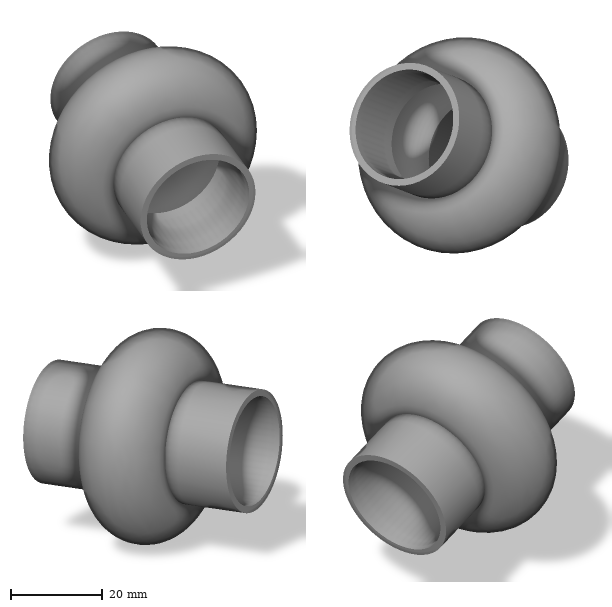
import cadquery as cq

tube_length = 50.0
tube_outer_diameter = 27.5
tube_bore_diameter = 24.5
bulge_diameter = 48.0
bulge_width = 20.0

wall = (tube_outer_diameter - tube_bore_diameter) / 2


def bulged_cylinder(radius, bulge_radius, half_width):
    """Solid cylinder along X with a round bulge rising from its middle."""
    half_length = tube_length / 2
    profile = (
        cq.Workplane("XY")
        .moveTo(-half_length, 0)
        .lineTo(-half_length, radius)
        .lineTo(-half_width, radius)
        .threePointArc((0, bulge_radius), (half_width, radius))
        .lineTo(half_length, radius)
        .lineTo(half_length, 0)
        .close()
    )
    return profile.revolve(360, (0, 0, 0), (1, 0, 0))


outer_body = bulged_cylinder(tube_outer_diameter / 2, bulge_diameter / 2, bulge_width / 2)

cavity = bulged_cylinder(
    tube_bore_diameter / 2,
    bulge_diameter / 2 - wall,
    bulge_width / 2 - wall,
)

result = outer_body.cut(cavity)